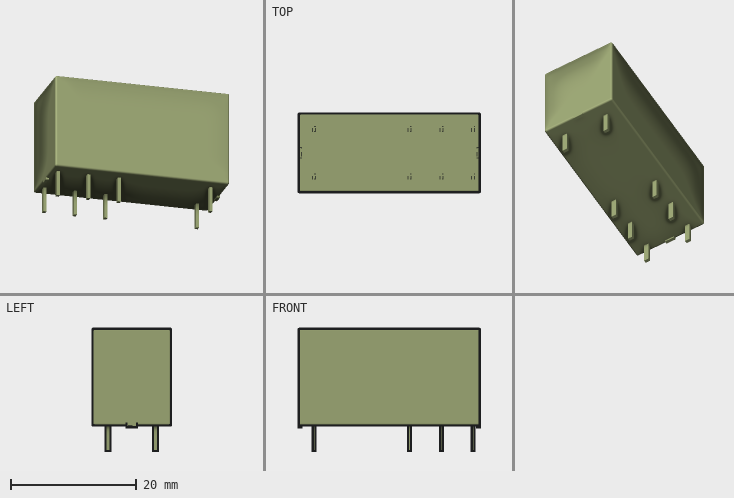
import cadquery as cq

housing_length = 29.0
housing_width = 12.62
housing_height = 15.52
edge_radius = 0.32

tab_thickness = 0.5
tab_width = 1.68
tab_drop = 0.3

pin_thickness = 0.5
pin_width = 0.8
pin_length = 4.1
pin_span = 25.4
pin_steps = (0, 3, 4, 5)
pin_pitch = pin_span / pin_steps[-1]
first_pin_inset = 2.5
row_spacing = 7.6


def make_housing():
    """Closed box with all of its edges rounded."""
    block = cq.Workplane("XY").box(
        housing_length, housing_width, housing_height, centered=(True, True, False)
    )
    return block.edges().fillet(edge_radius)


def make_tabs():
    """Tab in the middle of each end, filling the rounded lower edge and reaching below it."""
    tab_x = (housing_length - tab_thickness) / 2
    return (
        cq.Workplane("XY", origin=(0, 0, -tab_drop))
        .pushPoints([(-tab_x, 0), (tab_x, 0)])
        .rect(tab_thickness, tab_width)
        .extrude(tab_drop + edge_radius)
    )


def make_pins():
    """Flat pins hanging from the underside of the housing."""
    first_pin_x = first_pin_inset - housing_length / 2
    places = []
    for side in (-1, 1):
        for step in pin_steps:
            places.append((first_pin_x + step * pin_pitch, side * row_spacing / 2))
    return cq.Workplane("XY").pushPoints(places).rect(pin_thickness, pin_width).extrude(-pin_length)


result = make_housing().union(make_tabs()).union(make_pins())